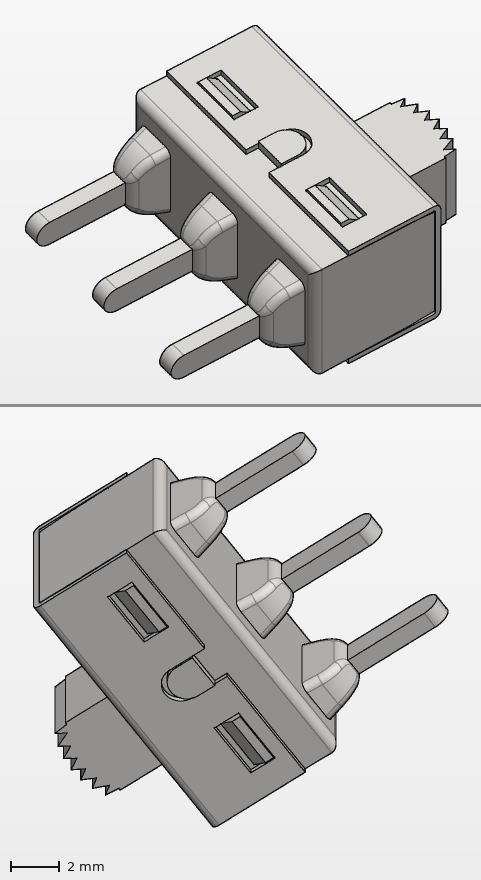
import cadquery as cq
import math


width = 12.7
height = 6.9
length = 16.33
pin_reach = 6.34
lever_reach = length - pin_reach

frame_height = 6.65
frame_back = 6.43
frame_front = 1.75
sheet = 0.28
bend_radius = 0.36
inner_bend_radius = 0.08
frame_inner_back = frame_back - sheet

body_height = 6.14
body_edge_radius = 0.41
body_draft = 0.05
lead_in_start = 4.98
lead_in = 0.1

tab_width = 1.6
tab_front = 2.37
tab_back = 4.02
notch_back = 4.31

latch_x = 3.79
latch_width = 2.38
latch_crest = 2.78
latch_back = 3.35
window_width = 2.6
window_back = 3.6

lever_x = 1.35
lever_width = 3.9
lever_height = 3.85
shoulder_y = 8.9
shoulder_step = 0.1
tip_radius = 3.75
root_radius = 3.25
tooth_angle = 9.5
teeth_per_side = 3

terminal_pitch = 4.69
pin_width = 0.8
pin_height = 1.29
boss_width = 2.04
boss_height = 3.75
boss_length = 1.88
boss_draft = 10.5
boss_shoulder_y = -0.69
boss_shoulder_height = 3.4
boss_edge_radius = 0.36
boss_tip_radius = 0.57


def box(x_size, y_min, y_max, z_size, x_mid=0.0):
    """Box centred on x_mid and Z = 0, spanning y_min to y_max."""
    return cq.Workplane("XY").box(x_size, y_max - y_min, z_size).translate((x_mid, (y_min + y_max) / 2, 0))


def body_outline(plane, size, back_points):
    """Body section with rounded front corners; its sides run through back_points to the back."""
    half = size / 2
    front_half = half - body_edge_radius
    bulge = body_edge_radius * math.sqrt(0.5)
    arc_mid = (front_half + bulge, body_edge_radius - bulge)
    side = cq.Workplane(plane).lineTo(front_half, 0)
    side = side.threePointArc(arc_mid, (half, body_edge_radius))
    for point in back_points:
        side = side.lineTo(*point)
    return side.lineTo(0, frame_inner_back).mirrorY()


SECTION = cq.Plane(origin=(0, 0, 0), xDir=(0, 0, 1), normal=(-1, 0, 0))


def make_body():
    """Body with drafted ends, and drafted sides that lean in further towards the back."""
    end_back = (width / 2 - body_draft, frame_inner_back)
    plan = body_outline("XY", width, [end_back]).extrude(height, both=True)
    lead_half = body_height / 2 - body_draft
    side_points = [(lead_half, lead_in_start), (lead_half - lead_in, frame_inner_back)]
    section = body_outline(SECTION, body_height, side_points).extrude(width, both=True)
    return plan.intersect(section)


def arched_block(y_min, y_max):
    """Full-height block of tab width with a round +Y end."""
    radius = tab_width / 2
    return (
        cq.Workplane("XY")
        .moveTo(-radius, y_min)
        .lineTo(radius, y_min)
        .lineTo(radius, y_max - radius)
        .threePointArc((0, y_max), (-radius, y_max - radius))
        .close()
        .extrude(height / 2, both=True)
    )


def make_frame():
    """Bent sheet U, notched for the locating tabs and pierced for the latches."""
    outer = box(width, frame_front, frame_back, frame_height).edges("|X and >Y").fillet(bend_radius)
    inner = box(width, frame_front, frame_inner_back, frame_height - 2 * sheet)
    frame = outer.cut(inner.edges("|X and >Y").fillet(inner_bend_radius))
    cutter = arched_block(frame_front, notch_back)
    for side in (-1, 1):
        cutter = cutter.union(box(window_width, tab_front, window_back, height, side * latch_x))
    return frame.cut(cutter)


def make_latch(x_mid):
    """Latch crossing the whole height: flat crest, then a ramp down to the body."""
    crest = height / 2
    foot = frame_height / 2 - sheet
    return (
        cq.Workplane(SECTION)
        .polyline([
            (-crest, tab_front),
            (crest, tab_front),
            (crest, latch_crest),
            (foot, latch_back),
            (-foot, latch_back),
            (-crest, latch_crest),
        ])
        .close()
        .extrude(latch_width / 2, both=True)
        .translate((x_mid, 0, 0))
    )


def make_lever():
    """Lever with a serrated end: tooth tips and roots lie on two concentric arcs."""
    centre_y = lever_reach - tip_radius
    tips = []
    for i in range(-teeth_per_side, teeth_per_side + 1):
        angle = math.radians(i * tooth_angle)
        tips.append((tip_radius * math.sin(angle), centre_y + tip_radius * math.cos(angle)))
    serration = [tips[0]]
    for tip, next_tip in zip(tips, tips[1:]):
        root_x = (tip[0] + next_tip[0]) / 2
        serration.append((root_x, centre_y + math.sqrt(root_radius**2 - root_x**2)))
        serration.append(next_tip)
    half = lever_width / 2
    neck = half - shoulder_step
    outline = [(half, frame_inner_back), (-half, frame_inner_back), (-half, shoulder_y), (-neck, shoulder_y)]
    outline += serration
    outline += [(neck, shoulder_y), (half, shoulder_y)]
    lever = cq.Workplane("XY").polyline(outline).close().extrude(lever_height / 2, both=True)
    return lever.translate((lever_x, 0, 0))


def make_boss():
    """Potting boss: domed section narrowed by drafted sides, all edges rounded."""
    base = boss_height / 2
    shoulder = boss_shoulder_height / 2
    tip = pin_height / 2
    half_dome = (
        cq.Workplane(SECTION)
        .moveTo(0, 0)
        .lineTo(base, 0)
        .lineTo(shoulder, boss_shoulder_y)
        .tangentArcPoint((tip, -boss_length), relative=False)
        .lineTo(0, -boss_length)
        .close()
        .extrude(boss_width, both=True)
    )
    dome = half_dome.union(half_dome.mirror("XY"))
    tip_half = boss_width / 2 - boss_length * math.tan(math.radians(boss_draft))
    wedge = (
        cq.Workplane("XY")
        .polyline([
            (-boss_width / 2, 0),
            (boss_width / 2, 0),
            (tip_half, -boss_length),
            (-tip_half, -boss_length),
        ])
        .close()
        .extrude(boss_height, both=True)
    )
    boss = dome.intersect(wedge).clean()
    boss = boss.faces("<Y").edges("|Z").fillet(boss_tip_radius)
    return boss.faces("<X or >X").edges("not (|Z)").fillet(boss_edge_radius)


def make_pin():
    """Flat pin with a full round end, rooted in the body face."""
    radius = pin_height / 2
    return (
        cq.Workplane(SECTION)
        .moveTo(radius, 0)
        .lineTo(radius, radius - pin_reach)
        .threePointArc((0, -pin_reach), (-radius, radius - pin_reach))
        .lineTo(-radius, 0)
        .close()
        .extrude(pin_width / 2, both=True)
    )


result = make_body().union(make_frame()).union(make_lever()).union(arched_block(tab_front, tab_back))
for side in (-1, 1):
    result = result.union(make_latch(side * latch_x))
terminal = make_boss().union(make_pin())
for i in (-1, 0, 1):
    result = result.union(terminal.translate((i * terminal_pitch, 0, 0)))